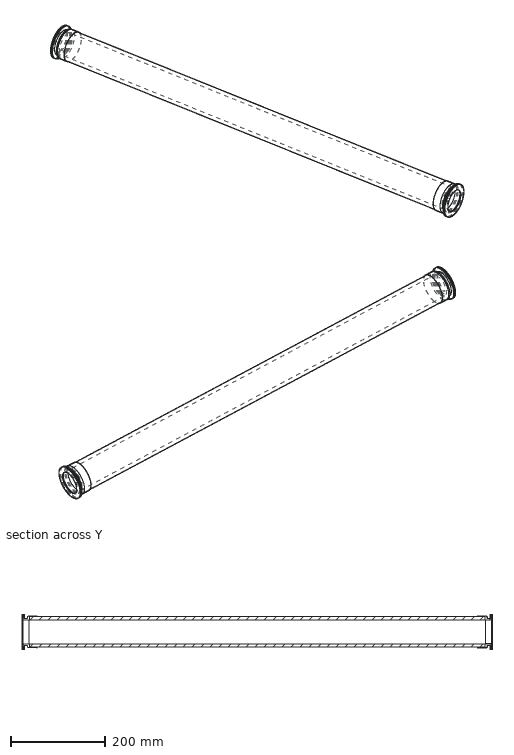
import cadquery as cq

total_length = 1000.0
half_length = total_length / 2
flange_radius = 37.5
bore_radius = 25.0

face_ring_thickness = 2.5

flange_end = 5.0
neck_radius = 29.0
sleeve_radius = 34.0
sleeve_start = 11.0
sleeve_end = 32.0
rim_fillet = 3.0

hose_radius = 33.0
hose_start = 15.0
hose_length = total_length - 2 * hose_start


def ring(outer_radius, start, length):
    """Ring around the bore, running from x = start towards +X."""
    return (
        cq.Workplane("YZ", origin=(start, 0, 0))
        .circle(outer_radius)
        .circle(bore_radius)
        .extrude(length)
    )


def make_hose():
    return ring(hose_radius, -hose_length / 2, hose_length)


def make_left_face_ring():
    return ring(flange_radius, -half_length, face_ring_thickness)


def make_left_cap():
    """Flange, neck and round-rimmed sleeve, with a recess that takes the hose end."""
    sleeve = ring(sleeve_radius, sleeve_start - half_length, sleeve_end - sleeve_start)
    outer_rim = cq.selectors.RadiusNthSelector(-1)
    sleeve = sleeve.faces("<X").edges(outer_rim).fillet(rim_fillet)
    neck = ring(neck_radius, flange_end - half_length, hose_start - flange_end)
    flange = ring(flange_radius, face_ring_thickness - half_length, flange_end - face_ring_thickness)
    return sleeve.union(neck).union(flange).cut(make_hose())


bodies = [make_hose().val()]
for turn in (0, 180):
    for left_body in (make_left_face_ring(), make_left_cap()):
        bodies.append(left_body.rotate((0, 0, 0), (0, 0, 1), turn).val())

result = cq.Compound.makeCompound(bodies)